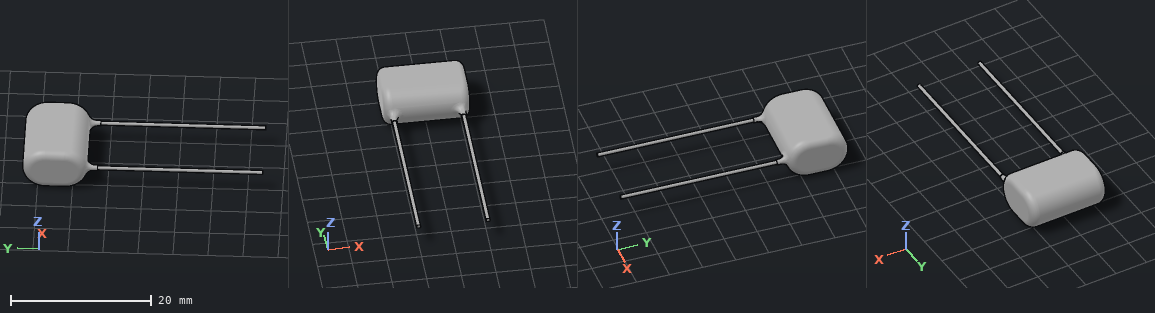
import cadquery as cq

total_length = 34.3
body_width = 12.5
body_depth = 9.3
body_height = 6.5

lead_pitch = 10.0
lead_diameter = 0.62
collar_diameter = 0.82
collar_length = 1.45
collar_fillet = 1.2

end_fillet = (body_width - lead_pitch) / 2

body_front = -body_depth / 2
collar_front = body_front - collar_length
lead_tip = body_depth / 2 - total_length
lead_positions = [-lead_pitch / 2, lead_pitch / 2]


def rod_along_y(x, start_y, end_y, diameter):
    """Round rod at the given X, running from start_y towards -Y down to end_y."""
    return (
        cq.Workplane("XZ", origin=(x, start_y, 0))
        .circle(diameter / 2)
        .extrude(start_y - end_y)
    )


def make_case():
    """Capsule-section body with rounded ends and a filleted collar for each lead."""
    case = (
        cq.Workplane("YZ")
        .slot2D(body_depth, body_height)
        .extrude(body_width / 2, both=True)
        .faces("<X or >X")
        .edges()
        .fillet(end_fillet)
    )
    for x in lead_positions:
        case = case.union(rod_along_y(x, 0, collar_front, collar_diameter))

    for x in lead_positions:
        seam_zone = cq.selectors.BoxSelector(
            (x - collar_diameter, body_front - collar_length / 2, -collar_diameter),
            (x + collar_diameter, body_front + collar_length / 2, collar_diameter),
        )
        seam = case.edges("not %LINE").edges(seam_zone)
        case = seam.fillet(collar_fillet)
    return case.solids()


def make_lead(x):
    """Straight wire from the end face of its collar to the tip."""
    return rod_along_y(x, collar_front, lead_tip, lead_diameter)


case = make_case()
leads = [make_lead(x) for x in lead_positions]

result = cq.Compound.makeCompound([case.val(), *[lead.val() for lead in leads]])